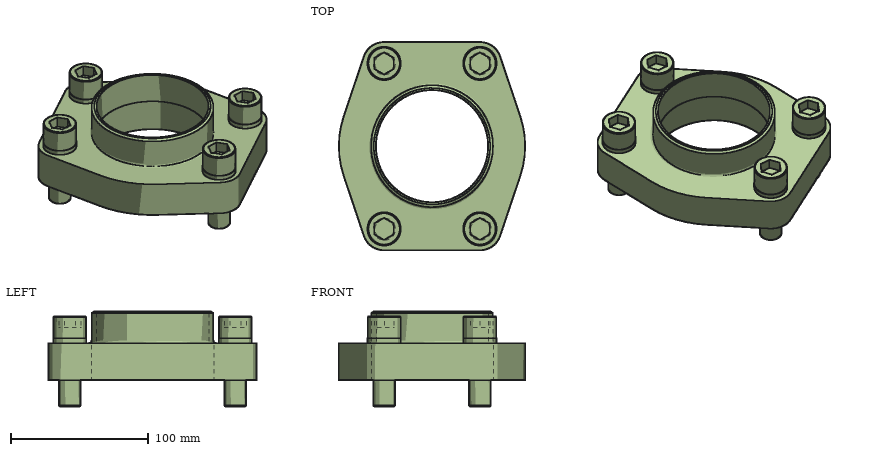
import cadquery as cq
import math

FLANGE_THICKNESS = 27.0
FLANGE_LENGTH = 152.0
SIDE_RADIUS = 68.0

BOLT_X = 69.85 / 2
BOLT_Y = 120.65 / 2

FLANGE_BORE_DIAMETER = 89.0
PIPE_DIAMETER = 88.9
PIPE_HEIGHT = 23.0
PIPE_BORE_DIAMETER = 81.7
PIPE_BEVEL_WIDTH = 2.0
PIPE_BEVEL_HEIGHT = PIPE_BEVEL_WIDTH * math.tan(math.radians(30))
WELD_SIZE = 2.0

BOLT_DIAMETER = 16.0
BOLT_LENGTH = 50.0
BOLT_TIP_CHAMFER = 1.0
HEAD_DIAMETER = 24.0
HEAD_HEIGHT = 16.0
HEAD_CHAMFER = 0.6
HEX_ACROSS_FLATS = 14.0
HEX_DEPTH = 8.0
WASHER_DIAMETER = 24.4
WASHER_THICKNESS = 3.5


def make_flange():
    """Plate whose corner arcs are centred on the bolts and joined to the side arcs by tangent lines."""
    half_length = FLANGE_LENGTH / 2
    corner_radius = half_length - BOLT_Y

    bolt_distance = math.hypot(BOLT_X, BOLT_Y)
    bolt_angle = math.atan2(BOLT_Y, BOLT_X)
    normal_angle = bolt_angle - math.acos((SIDE_RADIUS - corner_radius) / bolt_distance)

    side_x = SIDE_RADIUS * math.cos(normal_angle)
    side_y = SIDE_RADIUS * math.sin(normal_angle)
    corner_x = BOLT_X + corner_radius * math.cos(normal_angle)
    corner_y = BOLT_Y + corner_radius * math.sin(normal_angle)
    middle_angle = (normal_angle + math.pi / 2) / 2
    middle_x = BOLT_X + corner_radius * math.cos(middle_angle)
    middle_y = BOLT_Y + corner_radius * math.sin(middle_angle)

    return (
        cq.Workplane("XY")
        .moveTo(side_x, -side_y)
        .threePointArc((SIDE_RADIUS, 0), (side_x, side_y))
        .lineTo(corner_x, corner_y)
        .threePointArc((middle_x, middle_y), (BOLT_X, half_length))
        .lineTo(-BOLT_X, half_length)
        .threePointArc((-middle_x, middle_y), (-corner_x, corner_y))
        .lineTo(-side_x, side_y)
        .threePointArc((-SIDE_RADIUS, 0), (-side_x, -side_y))
        .lineTo(-corner_x, -corner_y)
        .threePointArc((-middle_x, -middle_y), (-BOLT_X, -half_length))
        .lineTo(BOLT_X, -half_length)
        .threePointArc((middle_x, -middle_y), (corner_x, -corner_y))
        .close()
        .extrude(FLANGE_THICKNESS)
    )


def make_pipe():
    """Solid pipe stub with a bevelled rim and a concave fillet at its foot, revolved about Z."""
    radius = PIPE_DIAMETER / 2
    top_z = FLANGE_THICKNESS + PIPE_HEIGHT
    weld_middle = WELD_SIZE * (1 - math.sqrt(0.5))
    return (
        cq.Workplane("XZ")
        .lineTo(radius + WELD_SIZE, 0)
        .lineTo(radius + WELD_SIZE, FLANGE_THICKNESS)
        .threePointArc(
            (radius + weld_middle, FLANGE_THICKNESS + weld_middle),
            (radius, FLANGE_THICKNESS + WELD_SIZE),
        )
        .lineTo(radius, top_z - PIPE_BEVEL_HEIGHT)
        .lineTo(radius - PIPE_BEVEL_WIDTH, top_z)
        .lineTo(0, top_z)
        .close()
        .revolve(360, (0, 0), (0, 1))
    )


def make_bolt():
    """Socket head bolt with its washer, the washer resting on the flange."""
    seat_z = FLANGE_THICKNESS + WASHER_THICKNESS
    top_z = seat_z + HEAD_HEIGHT
    washer = (
        cq.Workplane("XY")
        .workplane(offset=FLANGE_THICKNESS)
        .circle(WASHER_DIAMETER / 2)
        .extrude(WASHER_THICKNESS)
    )
    shank = (
        cq.Workplane("XY")
        .workplane(offset=seat_z - BOLT_LENGTH)
        .circle(BOLT_DIAMETER / 2)
        .extrude(BOLT_LENGTH)
        .faces("<Z")
        .chamfer(BOLT_TIP_CHAMFER)
    )
    head = (
        cq.Workplane("XY")
        .workplane(offset=seat_z)
        .circle(HEAD_DIAMETER / 2)
        .extrude(HEAD_HEIGHT)
        .faces(">Z")
        .chamfer(HEAD_CHAMFER)
    )
    socket = (
        cq.Workplane("XY")
        .workplane(offset=top_z)
        .polygon(6, HEX_ACROSS_FLATS, circumscribed=True)
        .extrude(-HEX_DEPTH)
    )
    return shank.union(washer).union(head).cut(socket)


def make_bore():
    """Pipe bore opening downwards, at the top face of the flange, into the wider flange bore."""
    pipe_bore = (
        cq.Workplane("XY")
        .circle(PIPE_BORE_DIAMETER / 2)
        .extrude(FLANGE_THICKNESS + PIPE_HEIGHT)
    )
    flange_bore = cq.Workplane("XY").circle(FLANGE_BORE_DIAMETER / 2).extrude(FLANGE_THICKNESS)
    return pipe_bore.union(flange_bore)


result = make_flange().union(make_pipe()).cut(make_bore())
bolt = make_bolt()
for x in (-BOLT_X, BOLT_X):
    for y in (-BOLT_Y, BOLT_Y):
        result = result.union(bolt.translate((x, y, 0)))